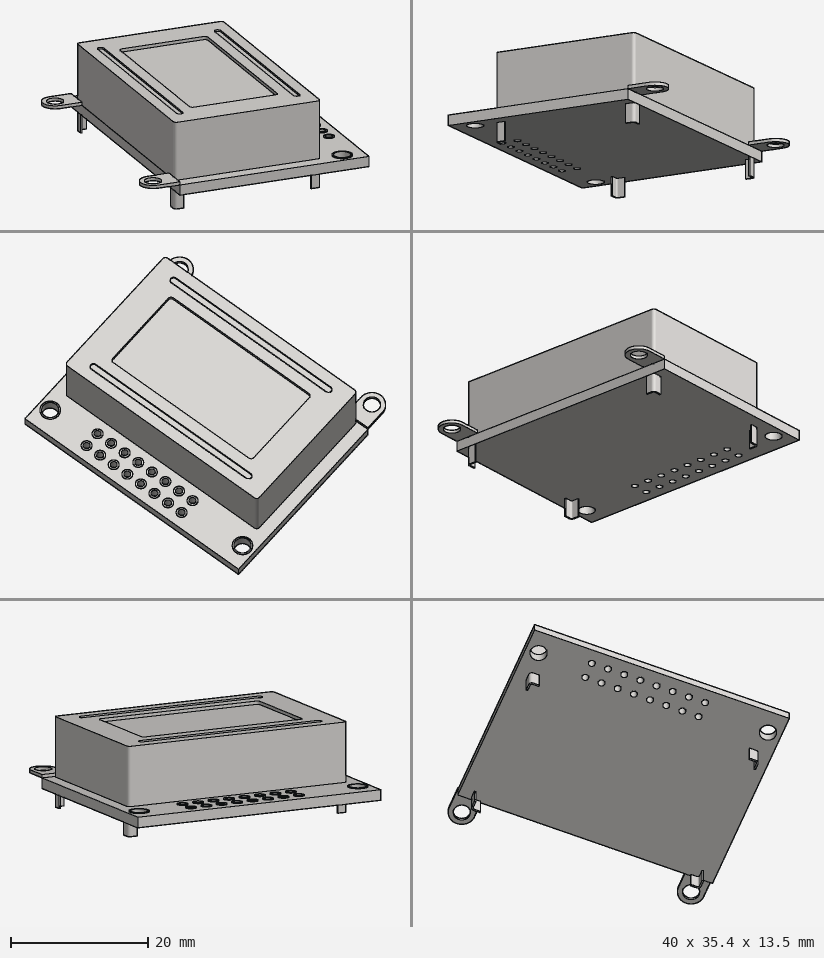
import cadquery as cq


board_width = 40.0
board_depth = 30.0
board_thickness = 1.6

mount_hole_diameter = 2.5
mount_pad_diameter = 3.0
mount_hole_inset = 2.0
mount_hole_spacing_y = 30.0

pad_height = 0.1
pad_diameter = 1.6
pad_hole_diameter = 1.0
pad_pitch = 2.54
pad_columns = 8
pad_rows = 2
pad_center_x = board_width / 2 + pad_pitch / 2
back_pad_inset = 2.13

bezel_width = 36.0
bezel_depth = 23.2
bezel_height = 9.0
bezel_corner_radius = 0.5
wall_thickness = 0.25
top_thickness = 0.5
cavity_height = bezel_height - top_thickness
bezel_center_x = board_width / 2
bezel_center_y = bezel_depth / 2

window_width = 26.4
window_depth = 13.9
window_corner_radius = 0.5
groove_length = 30.0
groove_width = 1.0
groove_inset = 2.325
groove_depth = top_thickness / 2

ear_width = 2 * mount_hole_inset
ear_thickness = 0.5
ear_hole_y = -3.4

leg_length = 2.9
leg_flange = 1.5

mount_xs = (mount_hole_inset, board_width - mount_hole_inset)
board_mount_points = [(x, ear_hole_y + mount_hole_spacing_y) for x in mount_xs]


def header_points():
    """Centers of the two rows of header pads."""
    first_x = pad_center_x - (pad_columns - 1) * pad_pitch / 2
    back_y = board_depth - back_pad_inset
    return [
        (first_x + column * pad_pitch, back_y - row * pad_pitch)
        for column in range(pad_columns)
        for row in range(pad_rows)
    ]


def bezel_block(bottom, height, inset=0.0):
    """Upright block with the rounded bezel outline, shrunk by inset on every side."""
    return (
        cq.Workplane("XY", origin=(bezel_center_x, bezel_center_y, bottom))
        .rect(bezel_width - 2 * inset, bezel_depth - 2 * inset)
        .extrude(height)
        .edges("|Z")
        .fillet(bezel_corner_radius - inset)
    )


def add_pads(board, points, diameter, hole_diameter):
    """Raise round pads on the board and drill each one through."""
    pads = cq.Workplane("XY").pushPoints(points).circle(diameter / 2).extrude(pad_height)
    holes = (
        cq.Workplane("XY", origin=(0, 0, -board_thickness))
        .pushPoints(points)
        .circle(hole_diameter / 2)
        .extrude(board_thickness + pad_height)
    )
    return board.union(pads).cut(holes)


def make_board():
    """Circuit board with header pads and two plated mounting holes."""
    board = (
        cq.Workplane("XY", origin=(0, 0, -board_thickness))
        .rect(board_width, board_depth, centered=False)
        .extrude(board_thickness)
    )
    board = add_pads(board, header_points(), pad_diameter, pad_hole_diameter)
    return add_pads(board, board_mount_points, mount_pad_diameter, mount_hole_diameter)


def make_ear(x):
    """Flat ear with a round end and a hole, reaching forward from the bezel front."""
    half_width = ear_width / 2
    return (
        cq.Workplane("XY")
        .moveTo(x - half_width, 0)
        .lineTo(x - half_width, ear_hole_y)
        .threePointArc((x, ear_hole_y - half_width), (x + half_width, ear_hole_y))
        .lineTo(x + half_width, 0)
        .close()
        .moveTo(x, ear_hole_y)
        .circle(mount_hole_diameter / 2)
        .extrude(ear_thickness)
    )


def make_window():
    """Rounded block that opens the viewing window through the bezel top."""
    return (
        cq.Workplane("XY", origin=(bezel_center_x, bezel_center_y, cavity_height))
        .rect(window_width, window_depth)
        .extrude(top_thickness)
        .edges("|Z")
        .fillet(window_corner_radius)
    )


def make_grooves():
    """Two round-ended blocks that sink the grooves into the bezel top."""
    return (
        cq.Workplane("XY", origin=(bezel_center_x, 0, bezel_height - groove_depth))
        .pushPoints([(0, groove_inset), (0, bezel_depth - groove_inset)])
        .slot2D(groove_length, groove_width)
        .extrude(groove_depth)
    )


def make_bezel():
    """Sheet-metal cover, open below, with a window, two grooves and two ears."""
    cavity = bezel_block(0, cavity_height, wall_thickness)
    bezel = bezel_block(0, bezel_height).cut(cavity)
    bezel = bezel.cut(make_window()).cut(make_grooves())
    for x in mount_xs:
        bezel = bezel.union(make_ear(x))
    return bezel


def make_display():
    """Display block filling the bezel cavity, its top seen through the window."""
    return bezel_block(0, cavity_height, wall_thickness)


def make_leg(side_x, side_y):
    """L-shaped leg under one bezel corner; side_x and side_y are -1 or 1."""
    leg_bottom = -board_thickness - leg_length
    ring = bezel_block(leg_bottom, leg_length).cut(
        bezel_block(leg_bottom, leg_length, wall_thickness)
    )
    corner_x = bezel_center_x + side_x * (bezel_width - leg_flange) / 2
    corner_y = bezel_center_y + side_y * (bezel_depth - leg_flange) / 2
    corner = (
        cq.Workplane("XY", origin=(corner_x, corner_y, leg_bottom))
        .rect(leg_flange, leg_flange)
        .extrude(leg_length)
    )
    return ring.intersect(corner)


board = make_board()
bezel = make_bezel()
display = make_display()
legs = [make_leg(side_x, side_y) for side_x in (-1, 1) for side_y in (-1, 1)]

result = cq.Compound.makeCompound(
    [board.val(), bezel.val(), display.val(), *[leg.val() for leg in legs]]
)